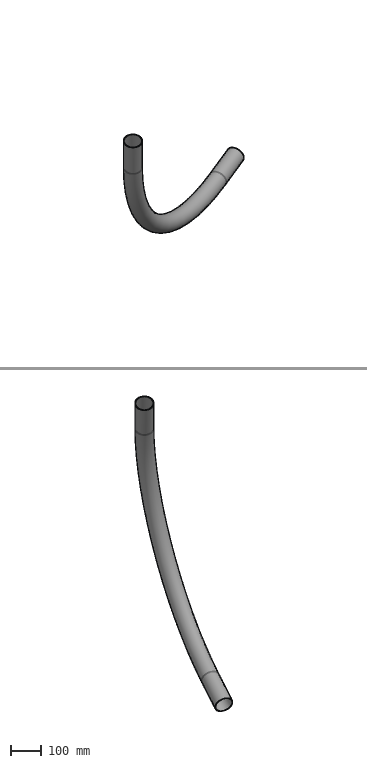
import cadquery as cq

overall_size = 768.0
outer_diameter = 64.0
inner_diameter = 58.0
straight_length = 126.0

centreline_reach = overall_size - outer_diameter / 2
bend_radius = centreline_reach - straight_length


def straight_leg():
    """Upright length of tube, with its lower end at the origin."""
    return (
        cq.Workplane("XY")
        .circle(outer_diameter / 2)
        .circle(inner_diameter / 2)
        .extrude(straight_length)
    )


def quarter_bend():
    """Tube bent 90 degrees, from the origin down and round towards +Y."""
    return (
        cq.Workplane("XY")
        .circle(outer_diameter / 2)
        .circle(inner_diameter / 2)
        .revolve(90, (0, bend_radius, 0), (1, bend_radius, 0))
    )


upright_leg = straight_leg()
level_leg = (
    straight_leg()
    .rotate((0, 0, 0), (1, 0, 0), -90)
    .translate((0, bend_radius, -bend_radius))
)

result = upright_leg.union(quarter_bend()).union(level_leg)